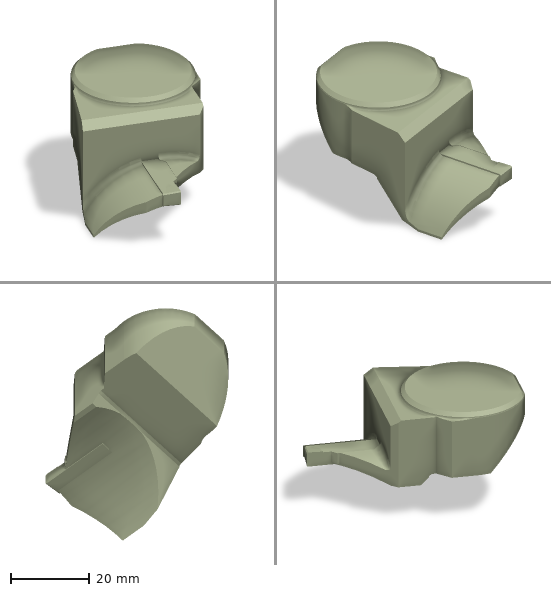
import cadquery as cq
import math


body_radius = 16.05
flange_radius = 16.0
flange_chamfer = 1.0
flat_x = -15.0
body_top = -1.7
flange_fillet = 0.55
body_bottom = -17.7
body_side_y = 12.65
shoulder_x = 6.6
wall_x = 21.6
wall_chamfer_x = 2.4
wall_chamfer_z = 2.0
nose_lower_z = -6.45
neck_radius = 5.0
neck_length = 3.1

heel_x = 11.0
relief_x = 0.8
relief_z = 0.45
heel_floor = -20.6

blade_end_x = 40.15
blade_side_y = -21.0
blade_side_start_x = 26.1
blade_tip_x = 33.35
blade_nose_y = -8.9
diagonal_start_x = 19.9
diagonal_end_x = 34.4
inner_radius = 26.55
part_bottom = -28.45
outer_radius = 24.5
outer_axis_y = 0.7
outer_axis_z = -39.12
blade_fillet = 1.5

insert_top = -14.75
insert_bottom = -18.4
insert_side_y = -4.6
insert_tip_x = 41.1
insert_tip_back_x = 40.65
insert_corner = 0.35
wing_width = 1.37
wing_height = 3.0
wing_start_x = 22.6
wing_full_start_x = 23.7
wing_full_end_x = 33.3
wing_end_x = 34.7
ridge_start = (36.75, 0.0)
ridge_corner = (37.15, -2.6)
ridge_end_y = -4.1
ridge_height = 1.0
ridge_slope = 0.1
ridge_back_slope = 1.0
bevel_slope = 1.0
bevel_foot_out = 0.05

SPAN = 100.0
inner_axis_z = part_bottom - math.sqrt(inner_radius**2 - blade_side_y**2)


def prism(points, bottom, top):
    """Vertical prism over a closed polygon."""
    return cq.Workplane("XY").workplane(offset=bottom).polyline(points).close().extrude(top - bottom)


def neck_y(x):
    """Y of the concave neck arc, which leaves the round end at X = 0."""
    return math.sqrt(neck_radius**2 - x**2) - neck_radius - body_radius


def side_y(x):
    """Y of the straight -Y side, from the neck to the blade."""
    slope = (blade_side_y - neck_y(neck_length)) / (blade_side_start_x - neck_length)
    return neck_y(neck_length) + slope * (x - neck_length)


def diagonal_y(x):
    """Y of the sloping +Y side of the blade."""
    return body_side_y * (diagonal_end_x - x) / (diagonal_end_x - diagonal_start_x)


def body_outline():
    """Plan of the body: round end with a flat, running into the block up to the end wall."""
    flat_half = math.sqrt(body_radius**2 - flat_x**2)
    neck_mid = neck_length / 2
    arc_mid = -body_radius / math.sqrt(2)
    return (
        cq.Workplane("XY").workplane(offset=part_bottom)
        .moveTo(flat_x, flat_half)
        .threePointArc((arc_mid, -arc_mid), (0, body_radius))
        .lineTo(shoulder_x, body_radius)
        .lineTo(shoulder_x + body_radius - body_side_y, body_side_y)
        .lineTo(diagonal_start_x, body_side_y)
        .lineTo(wall_x, diagonal_y(wall_x))
        .lineTo(wall_x, side_y(wall_x))
        .lineTo(neck_length, neck_y(neck_length))
        .threePointArc((neck_mid, neck_y(neck_mid)), (0, -body_radius))
        .threePointArc((arc_mid, arc_mid), (flat_x, -flat_half))
        .close()
    )


def make_body():
    """Block with the round end and the flange on top."""
    plan = body_outline().extrude(-part_bottom)
    profile = (
        cq.Workplane("XZ", origin=(0, SPAN / 2, 0))
        .moveTo(flat_x, body_top)
        .lineTo(flat_x, nose_lower_z)
        .lineTo(flat_x + nose_lower_z - body_bottom, body_bottom)
        .lineTo(heel_x, body_bottom)
        .lineTo(heel_x + relief_x, body_bottom - relief_z)
        .lineTo(heel_x + relief_x, body_bottom - relief_x)
        .lineTo(heel_x + body_bottom - part_bottom, part_bottom)
        .lineTo(wall_x, part_bottom)
        .lineTo(wall_x, body_top - wall_chamfer_z)
        .lineTo(wall_x - wall_chamfer_x, body_top)
        .close()
        .extrude(SPAN)
    )
    block = plan.intersect(profile)

    flange_disc = (
        cq.Workplane("XY").workplane(offset=body_top).circle(flange_radius).extrude(-body_top)
        .faces(">Z").chamfer(flange_chamfer)
    )
    flat_profile = (
        cq.Workplane("XZ", origin=(0, SPAN / 2, 0))
        .moveTo(flat_x, body_top)
        .lineTo(flat_x, -flange_chamfer)
        .lineTo(flat_x + flange_chamfer, 0)
        .lineTo(SPAN, 0)
        .lineTo(SPAN, body_top)
        .close()
        .extrude(SPAN)
    )
    flange = flange_disc.intersect(flat_profile)
    arc_offset = flange_fillet * (1 - math.sqrt(0.5))
    fillet_ring = (
        cq.Workplane("XZ")
        .moveTo(flange_radius - flange_fillet, body_top)
        .lineTo(flange_radius + flange_fillet, body_top)
        .threePointArc(
            (flange_radius + arc_offset, body_top + arc_offset),
            (flange_radius, body_top + flange_fillet),
        )
        .lineTo(flange_radius - flange_fillet, body_top + flange_fillet)
        .close()
        .revolve(360, (0, 0, 0), (0, 1, 0))
        .intersect(plan)
    )
    return block.union(flange).union(fillet_ring)


def make_blade():
    """Curved blade with its round blend into the end wall."""
    plan = prism(
        [
            (wall_x, diagonal_y(wall_x)),
            (diagonal_end_x, 0),
            (blade_end_x, 0),
            (blade_end_x, blade_nose_y),
            (blade_tip_x, blade_side_y),
            (blade_side_start_x, blade_side_y),
            (wall_x, side_y(wall_x)),
        ],
        part_bottom,
        body_top,
    )
    arc_offset = blade_fillet * (1 - math.sqrt(0.5))
    convex_side = (
        cq.Workplane("XZ", origin=(0, outer_axis_y, outer_axis_z))
        .moveTo(wall_x, 0)
        .lineTo(wall_x, outer_radius + blade_fillet)
        .threePointArc(
            (wall_x + arc_offset, outer_radius + arc_offset),
            (wall_x + blade_fillet, outer_radius),
        )
        .lineTo(insert_tip_x, outer_radius)
        .lineTo(insert_tip_x, 0)
        .close()
        .revolve(360, (0, 0, 0), (1, 0, 0))
    )
    return plan.intersect(convex_side)


def make_underside_cut():
    """Space below the heel and blade: a cylinder along X and a flat at the +Y corner."""
    cylinder = cq.Workplane("YZ").center(0, inner_axis_z).circle(inner_radius).extrude(SPAN)
    corner = cq.Workplane("XY").box(SPAN, SPAN, SPAN, centered=(False, False, False))
    return cylinder.union(corner.translate((0, 0, heel_floor - SPAN)))


def insert_bar(top):
    """Long bar of the insert, from the end wall to the cutting edge, up to the given height."""
    return prism(
        [
            (wall_x, 0),
            (insert_tip_x, 0),
            (insert_tip_back_x, insert_side_y),
            (wall_x, insert_side_y),
        ],
        insert_bottom,
        top,
    )


def insert_wing(top):
    """Shallow rib along the +Y side of the insert, up to the given height."""
    return prism(
        [
            (wing_start_x, 0),
            (wing_full_start_x, wing_width),
            (wing_full_end_x, wing_width),
            (wing_end_x, 0),
        ],
        insert_top - wing_height,
        top,
    )


def space_above(foot, end, slope):
    """Space above a plane that rises to the left of the line from foot to end on the insert top."""
    run_x = end[0] - foot[0]
    run_y = end[1] - foot[1]
    run = math.hypot(run_x, run_y)
    plane = cq.Plane(
        origin=(*foot, insert_top),
        xDir=(run_x, run_y, 0),
        normal=(slope * run_y / run, -slope * run_x / run, 1),
    )
    return cq.Workplane(plane).rect(SPAN, SPAN).extrude(SPAN)


def make_ridge():
    """Raised ridge at the tip, highest at the cutting edge and running out on the insert top."""
    tip_slope = (insert_tip_back_x - insert_tip_x) / insert_side_y
    ridge_end = (insert_tip_x + tip_slope * ridge_end_y, ridge_end_y)
    blank = prism(
        [ridge_start, (insert_tip_x, 0), ridge_end, ridge_corner],
        insert_top,
        insert_top + ridge_height,
    )
    long_face = space_above(ridge_corner, ridge_end, ridge_slope)
    back_face = space_above(ridge_start, ridge_corner, ridge_back_slope)
    return blank.cut(long_face).cut(back_face)


def make_insert():
    """Insert bar with its ridge, rounded and bevelled tip, and side rib."""
    bar = insert_bar(insert_top).faces(">X").edges("<Z").fillet(insert_corner)
    bevel_start = (insert_tip_back_x - insert_corner, insert_side_y)
    bevel_end = (insert_tip_x + bevel_foot_out, 0)
    bevel = space_above(bevel_start, bevel_end, bevel_slope)
    tip = bar.union(make_ridge()).cut(bevel)
    return tip.union(insert_wing(insert_top))


def make_holder():
    """Body and blade in one piece, with the insert pocket cut out."""
    pocket = insert_bar(body_top).union(insert_wing(body_top))
    return make_body().union(make_blade()).cut(make_underside_cut()).cut(pocket)


holder = make_holder()
insert = make_insert()
result = cq.Compound.makeCompound([holder.val(), insert.val()])